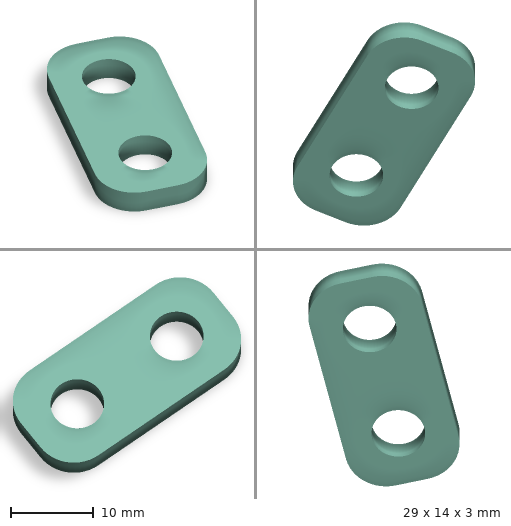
import cadquery as cq

length = 29.0
width = 13.98
thickness = 3.0
corner_radius = 5.0

hole_diameter = 6.5
hole_spacing = 15.0

plate = cq.Workplane("XY").box(length, width, thickness)
rounded_plate = plate.edges("|Z").fillet(corner_radius)

half_spacing = hole_spacing / 2
result = (
    rounded_plate.faces(">Z")
    .workplane()
    .pushPoints([(-half_spacing, 0), (half_spacing, 0)])
    .hole(hole_diameter)
)